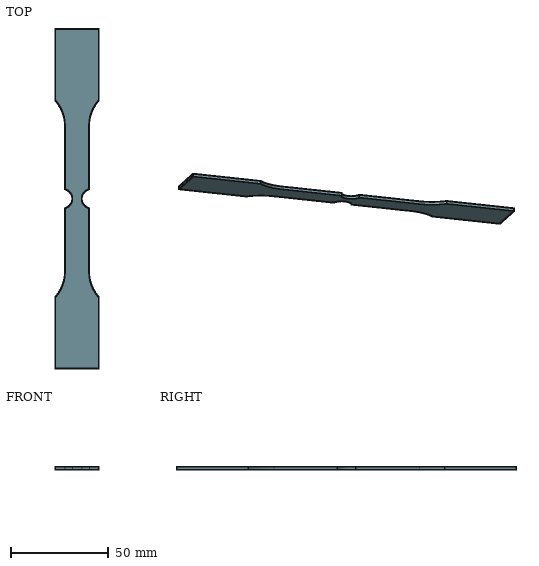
import cadquery as cq
import math

total_length = 175.0
grip_width = 22.5
thickness = 1.6
neck_width = 12.5
neck_length = 75.0
shoulder_radius = 20.0
notch_radius = 5.0
notch_web = 5.0

half_length = total_length / 2
half_grip = grip_width / 2
half_neck = neck_width / 2
half_web = notch_web / 2

notch_center_x = half_web + notch_radius
notch_angle = math.acos((notch_center_x - half_neck) / notch_radius)

neck_end = neck_length / 2
shoulder_center_x = half_neck + shoulder_radius
shoulder_angle = math.acos((shoulder_center_x - half_grip) / shoulder_radius)


def notch_point(angle):
    """Point on the +X notch arc, at an angle from its bottom toward +Y."""
    x = notch_center_x - notch_radius * math.cos(angle)
    y = notch_radius * math.sin(angle)
    return (x, y)


def shoulder_point(angle):
    """Point on the shoulder arc in the +X +Y quarter, at an angle from its tangent point."""
    x = shoulder_center_x - shoulder_radius * math.cos(angle)
    y = neck_end + shoulder_radius * math.sin(angle)
    return (x, y)


def mirror_y(point):
    x, y = point
    return (x, -y)


def half_turn(point):
    x, y = point
    return (-x, -y)


def add_side(outline, place):
    """Add one long side, running from -Y to +Y on the +X side before it is placed."""
    notch_bottom = notch_point(0)
    notch_middle = notch_point(notch_angle / 2)
    notch_edge = notch_point(notch_angle)
    shoulder_start = shoulder_point(0)
    shoulder_middle = shoulder_point(shoulder_angle / 2)
    shoulder_end = shoulder_point(shoulder_angle)
    corner = (half_grip, half_length)
    return (
        outline.lineTo(*place(mirror_y(shoulder_end)))
        .threePointArc(place(mirror_y(shoulder_middle)), place(mirror_y(shoulder_start)))
        .lineTo(*place(mirror_y(notch_edge)))
        .threePointArc(place(mirror_y(notch_middle)), place(notch_bottom))
        .threePointArc(place(notch_middle), place(notch_edge))
        .lineTo(*place(shoulder_start))
        .threePointArc(place(shoulder_middle), place(shoulder_end))
        .lineTo(*place(corner))
    )


def tensile_bar():
    """The bar outline, its second side a half turn of the first, raised to thickness."""
    outline = cq.Workplane("XY").moveTo(half_grip, -half_length)
    outline = add_side(outline, lambda point: point)
    outline = outline.lineTo(-half_grip, half_length)
    outline = add_side(outline, half_turn)
    return outline.close().extrude(thickness)


result = tensile_bar()